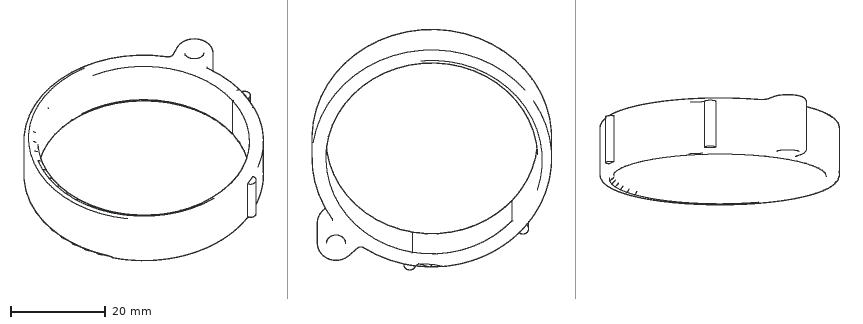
import cadquery as cq
import math

bore_radius = 22.5
wall = 3.0
outer_radius = bore_radius + wall
height = 12.0
edge_round = 1.0
straight_height = height - 2 * edge_round

lug_radius = 4.0
lug_hole_radius = 2.0
lug_stand_off = 3.0
lug_centre_y = outer_radius + lug_stand_off
lug_root_round = 1.0

inlay_angle = 60.0
inlay_start_angle = -5.0
inlay_thickness = 1.0

mark_radius = 1.25
mark_angles = (inlay_start_angle, inlay_start_angle + inlay_angle)


def polar_point(radius, angle):
    """X and Y of a point at an angle in degrees from +X."""
    return radius * math.cos(math.radians(angle)), radius * math.sin(math.radians(angle))


def centred_cylinder(radius, length):
    return cq.Workplane("XY").circle(radius).extrude(length / 2, both=True)


def ring_with_lug_blank():
    """Solid disc and lug, with blended lug roots and rounded outer edges."""
    disc = centred_cylinder(outer_radius, height)
    lug = (
        cq.Workplane("XY")
        .moveTo(-lug_radius, 0)
        .lineTo(-lug_radius, lug_centre_y)
        .threePointArc((0, lug_centre_y + lug_radius), (lug_radius, lug_centre_y))
        .lineTo(lug_radius, 0)
        .close()
        .extrude(height / 2, both=True)
    )
    root_y = math.sqrt(outer_radius**2 - lug_radius**2)
    root_margin = 0.5
    root_box = cq.selectors.BoxSelector(
        (-lug_radius - root_margin, root_y - root_margin, -height),
        (lug_radius + root_margin, root_y + root_margin, height),
    )
    blank = disc.union(lug)
    blank = blank.edges("|Z").edges(root_box).fillet(lug_root_round)
    return blank.faces("<Z or >Z").edges().fillet(edge_round)


def rounded_hole_cutter(radius):
    """Cutter for a through hole on the Z axis whose two rims are rounded."""
    rim_radius = radius + edge_round
    top = height / 2
    tangent_z = straight_height / 2
    offset_45 = edge_round * math.sqrt(0.5)
    mid_radius = rim_radius - offset_45
    mid_z = tangent_z + offset_45
    return (
        cq.Workplane("XZ")
        .moveTo(0, -top)
        .lineTo(rim_radius, -top)
        .threePointArc((mid_radius, -mid_z), (radius, -tangent_z))
        .lineTo(radius, tangent_z)
        .threePointArc((mid_radius, mid_z), (rim_radius, top))
        .lineTo(0, top)
        .close()
        .revolve(360, (0, 0, 0), (0, 1, 0))
    )


def make_inlay():
    """Arc-shaped strip as tall as the straight part of the bore."""
    back_radius = bore_radius + inlay_thickness
    start = inlay_start_angle
    middle = start + inlay_angle / 2
    end = start + inlay_angle
    return (
        cq.Workplane("XY")
        .moveTo(*polar_point(bore_radius, start))
        .lineTo(*polar_point(back_radius, start))
        .threePointArc(polar_point(back_radius, middle), polar_point(back_radius, end))
        .lineTo(*polar_point(bore_radius, end))
        .threePointArc(polar_point(bore_radius, middle), polar_point(bore_radius, start))
        .close()
        .extrude(straight_height / 2, both=True)
    )


def make_ring(inlay):
    """Ring with its lug and end marks, recessed for the inlay."""
    ring = ring_with_lug_blank()
    for angle in mark_angles:
        mark = (
            centred_cylinder(mark_radius, straight_height)
            .translate((*polar_point(outer_radius, angle), 0))
        )
        ring = ring.union(mark)
    ring = ring.cut(rounded_hole_cutter(bore_radius))
    ring = ring.cut(rounded_hole_cutter(lug_hole_radius).translate((0, lug_centre_y, 0)))
    return ring.cut(inlay)


inlay = make_inlay()
ring = make_ring(inlay)

result = cq.Compound.makeCompound([ring.solids().val(), inlay.solids().val()])